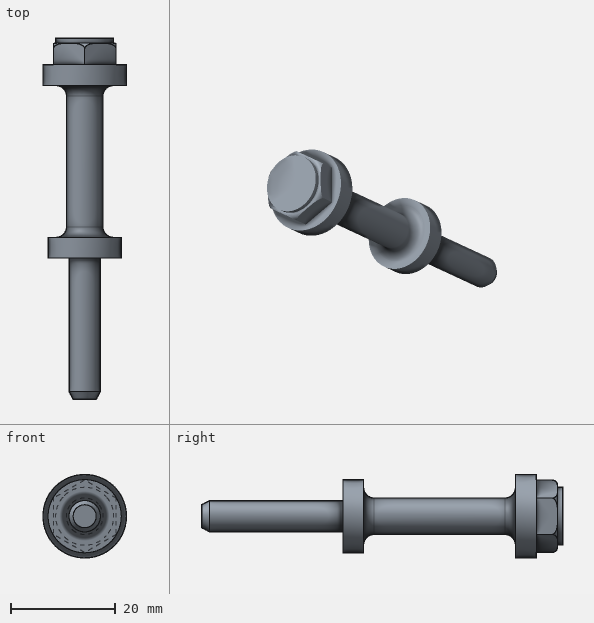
import cadquery as cq
import math

FACE_LENGTH = 1.0
HEX_LENGTH = 4.1
FLANGE_LENGTH = 4.0
SHANK_LENGTH = 29.0
COLLAR_LENGTH = 4.0
PIN_LENGTH = 27.0

FACE_DIAMETER = 11.1
HEX_ACROSS_FLATS = 12.0
FLANGE_DIAMETER = 16.0
SHANK_DIAMETER = 7.0
COLLAR_DIAMETER = 14.0
PIN_DIAMETER = 6.0

HEX_CORNER_ROUNDING = 1.1
SHANK_FILLET_RADIUS = 2.0
TIP_CHAMFER_LENGTH = 1.5
TIP_DIAMETER = 4.4

HEX_SIDES = 6
HEX_ACROSS_CORNERS = HEX_ACROSS_FLATS / math.cos(math.pi / HEX_SIDES)

HEX_END_Y = -FACE_LENGTH
FLANGE_TOP_Y = HEX_END_Y - HEX_LENGTH
FLANGE_BOTTOM_Y = FLANGE_TOP_Y - FLANGE_LENGTH
COLLAR_TOP_Y = FLANGE_BOTTOM_Y - SHANK_LENGTH
COLLAR_BOTTOM_Y = COLLAR_TOP_Y - COLLAR_LENGTH
TIP_Y = COLLAR_BOTTOM_Y - PIN_LENGTH


def revolve_about_y(profile):
    """Revolve a closed XY half-profile a full turn about the Y axis."""
    return profile.close().revolve(360, (0, 0, 0), (0, 1, 0))


def make_turned_body():
    """Flange, filleted shank, collar and pin as one revolved profile."""
    flange_radius = FLANGE_DIAMETER / 2
    shank_radius = SHANK_DIAMETER / 2
    collar_radius = COLLAR_DIAMETER / 2
    pin_radius = PIN_DIAMETER / 2
    fillet_edge_radius = shank_radius + SHANK_FILLET_RADIUS

    profile = (
        cq.Workplane("XY")
        .moveTo(0, FLANGE_TOP_Y)
        .lineTo(flange_radius, FLANGE_TOP_Y)
        .lineTo(flange_radius, FLANGE_BOTTOM_Y)
        .lineTo(fillet_edge_radius, FLANGE_BOTTOM_Y)
        .radiusArc((shank_radius, FLANGE_BOTTOM_Y - SHANK_FILLET_RADIUS), -SHANK_FILLET_RADIUS)
        .lineTo(shank_radius, COLLAR_TOP_Y + SHANK_FILLET_RADIUS)
        .radiusArc((fillet_edge_radius, COLLAR_TOP_Y), -SHANK_FILLET_RADIUS)
        .lineTo(collar_radius, COLLAR_TOP_Y)
        .lineTo(collar_radius, COLLAR_BOTTOM_Y)
        .lineTo(pin_radius, COLLAR_BOTTOM_Y)
        .lineTo(pin_radius, TIP_Y + TIP_CHAMFER_LENGTH)
        .lineTo(TIP_DIAMETER / 2, TIP_Y)
        .lineTo(0, TIP_Y)
    )
    return revolve_about_y(profile)


def make_hex_head():
    """Hexagon with corners along Z, its outer end rounded off at the corners."""
    hexagon = (
        cq.Workplane("XZ", origin=(0, HEX_END_Y, 0))
        .polygon(HEX_SIDES, HEX_ACROSS_CORNERS)
        .extrude(HEX_LENGTH)
        .rotate((0, 0, 0), (0, 1, 0), 180 / HEX_SIDES)
    )
    corner_radius = HEX_ACROSS_CORNERS / 2
    rounded_envelope = revolve_about_y(
        cq.Workplane("XY")
        .moveTo(0, HEX_END_Y)
        .lineTo(corner_radius - HEX_CORNER_ROUNDING, HEX_END_Y)
        .radiusArc((corner_radius, HEX_END_Y - HEX_CORNER_ROUNDING), HEX_CORNER_ROUNDING)
        .lineTo(corner_radius, FLANGE_TOP_Y)
        .lineTo(0, FLANGE_TOP_Y)
    )
    return hexagon.intersect(rounded_envelope)


def make_end_face():
    """Low round boss on the outer end of the hexagon."""
    return cq.Workplane("XZ").circle(FACE_DIAMETER / 2).extrude(FACE_LENGTH)


result = make_turned_body().union(make_hex_head()).union(make_end_face())